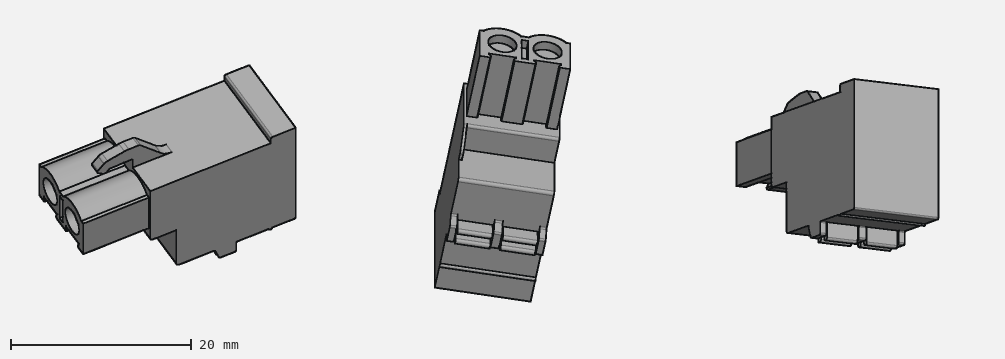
import cadquery as cq
import math


total_length = 26.6
total_height = 19.02
nose_length = 8.27
embed_depth = 0.53

housing_width = 10.77
housing_length = total_length - nose_length
housing_top = 13.8
rim_top = 14.7
rim_length = 3.15
rim_radius = 0.25
rear_radius = 0.2
heel_radius = 0.37

step_depth = 3.3
step_ceiling = 5.8
lip_radius = 0.32
cheek_thickness = 0.37
cheek_bottom = 3.7
cheek_ramp_foot = 2.3
cheek_ramp_top = 5.77
cheek_radius = 0.53

pole_pitch = 5.08
pole_positions = (-pole_pitch / 2, pole_pitch / 2)
pole_height = 10.5
pole_radius = 2.9
socket_radius = 1.6
socket_depth = 1.06
nose_width = 10.2
nose_shoulder = 12.5
nose_bottom = 7.53
slot_width = 0.75
slot_top = 11.78
slot_bottom = 8.25

channel_ceiling = slot_bottom
channel_top_width = 3.09
channel_neck_width = 2.55
channel_mouth_width = 2.77
channel_neck_height = 7.75

latch_left = 0.03
latch_width = 1.3
latch_top = 17.02
latch_root = 4.1
latch_root_radius = 2.0
latch_rear = latch_root + latch_root_radius
latch_base = housing_top - embed_depth
latch_ramp_top_radius = 0.37

arm_start = -0.77
arm_start_radius = 2.53
arm_end = -3.43
arm_end_height = 16.45
arm_end_radius = 0.95
arm_underside = 15.2
arm_underside_radius = 0.2
hook_tip = -4.6
hook_tip_height = 15.3
hook_tip_radius = 0.27
hook_bottom = 14.65
hook_front = -3.62
hook_front_radius = 0.15
hook_rear = -3.32
hook_rear_radius = 0.1
hook_root = -2.93
hook_root_height = 15.1

rib_depth = 1.52
rib_rear = 10.85
rib_front_foot = 8.7
rib_front_root = 8.17
rib_foot_radius = 0.25
rib_front_root_radius = 0.2
rib_rear_root_radius = 0.1
side_rib_width = 0.77
middle_rib_width = 0.93
bar_width = 3.88
bar_thickness = 0.66
bar_depth = total_height - latch_top
bar_positions = (9.1, 10.43)
bead_position = 15.14
bead_width = 0.5
bead_depth = 0.19


def rounded_outline(plane, corners):
    """Closed outline through (u, v, radius) corners; a radius of 0 leaves the corner sharp."""
    stops = []
    for i, (u, v, radius) in enumerate(corners):
        corner = cq.Vector(u, v)
        if radius == 0:
            stops.append((corner, corner, corner))
            continue
        before = cq.Vector(*corners[i - 1][:2])
        after = cq.Vector(*corners[(i + 1) % len(corners)][:2])
        to_before = (before - corner).normalized()
        to_after = (after - corner).normalized()
        half_angle = to_before.getAngle(to_after) / 2
        setback = radius / math.tan(half_angle)
        apex_distance = radius / math.sin(half_angle) - radius
        apex = corner + (to_before + to_after).normalized() * apex_distance
        stops.append((corner + to_before * setback, apex, corner + to_after * setback))

    outline = cq.Workplane(plane).moveTo(*stops[0][2].toTuple()[:2])
    for start, apex, end in stops[1:] + stops[:1]:
        outline = outline.lineTo(*start.toTuple()[:2])
        if (end - start).Length > 0:
            outline = outline.threePointArc(apex.toTuple()[:2], end.toTuple()[:2])
    return outline.close()


def side_profile(corners, left, width):
    """Prism with a (y, z, radius) outline, reaching from X = left over the given width."""
    return rounded_outline("YZ", corners).extrude(width).translate((left, 0, 0))


def make_housing():
    rim_front = housing_length - rim_length
    body = side_profile(
        [
            (0, housing_top, 0),
            (rim_front, housing_top, 0),
            (rim_front, rim_top, rim_radius),
            (housing_length, rim_top, 0),
            (housing_length, 0, rear_radius),
            (step_depth, 0, heel_radius),
            (step_depth, step_ceiling, 0),
            (0, step_ceiling, lip_radius),
        ],
        -housing_width / 2,
        housing_width,
    )
    cheek = side_profile(
        [
            (0, housing_top, 0),
            (step_depth, housing_top, 0),
            (step_depth, cheek_bottom, 0),
            (cheek_ramp_foot, cheek_bottom, cheek_radius),
            (0, cheek_ramp_top, cheek_radius),
        ],
        -housing_width / 2,
        cheek_thickness,
    )
    return body.union(cheek)


def make_nose():
    front = cq.Workplane("XZ")
    pole_centers = [(x, pole_height) for x in pole_positions]
    nose = (
        front.center(0, (nose_shoulder + nose_bottom) / 2)
        .rect(nose_width, nose_shoulder - nose_bottom)
        .extrude(nose_length)
    )
    above_shoulder = (
        front.center(0, nose_shoulder + pole_radius / 2)
        .rect(nose_width, pole_radius)
        .extrude(nose_length)
    )
    for x, z in pole_centers:
        barrel = front.center(x, z).circle(pole_radius).extrude(nose_length)
        nose = nose.union(barrel.intersect(above_shoulder))

    nose_front = cq.Workplane("XZ", origin=(0, -nose_length, 0))
    sockets = nose_front.pushPoints(pole_centers).circle(socket_radius).extrude(-socket_depth)
    slot = (
        nose_front.center(0, (slot_top + slot_bottom) / 2)
        .rect(slot_width, slot_top - slot_bottom)
        .extrude(-socket_depth)
    )
    nose = nose.cut(sockets).cut(slot)

    channel_right_side = [
        (channel_mouth_width / 2, nose_bottom),
        (channel_neck_width / 2, channel_neck_height),
        (channel_top_width / 2, channel_ceiling),
    ]
    channel_left_side = [(-x, z) for x, z in reversed(channel_right_side)]
    channel = front.polyline(channel_right_side + channel_left_side).close().extrude(nose_length)
    for x in pole_positions:
        nose = nose.cut(channel.translate((x, 0, 0)))
    return nose


def make_latch():
    ramp_top = latch_root - (latch_top - housing_top)
    return side_profile(
        [
            (0, latch_base, 0),
            (latch_rear, latch_base, 0),
            (latch_rear, housing_top, 0),
            (latch_root, housing_top, latch_root_radius),
            (ramp_top, latch_top, latch_ramp_top_radius),
            (arm_start, latch_top, arm_start_radius),
            (arm_end, arm_end_height, arm_end_radius),
            (hook_tip, hook_tip_height, hook_tip_radius),
            (hook_front, hook_bottom, hook_front_radius),
            (hook_rear, hook_bottom, hook_rear_radius),
            (hook_root, hook_root_height, hook_rear_radius),
            (0, arm_underside, arm_underside_radius),
        ],
        latch_left,
        latch_width,
    )


def make_rib(left, width):
    rib_back = rib_rear + 2 * rib_rear_root_radius
    rib_front = rib_front_root - 2 * rib_front_root_radius
    return side_profile(
        [
            (rib_back, embed_depth, 0),
            (rib_back, 0, 0),
            (rib_rear, 0, rib_rear_root_radius),
            (rib_rear, -rib_depth, rib_foot_radius),
            (rib_front_foot, -rib_depth, rib_foot_radius),
            (rib_front_root, 0, rib_front_root_radius),
            (rib_front, 0, 0),
            (rib_front, embed_depth, 0),
        ],
        left,
        width,
    )


def make_bar(x, y):
    tip_radius = bar_thickness / 2
    straight_end = -bar_depth + tip_radius
    return (
        cq.Workplane("YZ", origin=(x - bar_width / 2, 0, 0))
        .moveTo(y - tip_radius, 0)
        .lineTo(y - tip_radius, straight_end)
        .threePointArc((y, -bar_depth), (y + tip_radius, straight_end))
        .lineTo(y + tip_radius, 0)
        .close()
        .extrude(bar_width)
    )


def make_bead():
    return (
        cq.Workplane("YZ", origin=(-housing_width / 2, 0, 0))
        .moveTo(bead_position - bead_width / 2, 0)
        .threePointArc((bead_position, -bead_depth), (bead_position + bead_width / 2, 0))
        .close()
        .extrude(housing_width)
    )


result = make_housing().union(make_nose()).union(make_latch()).union(make_bead())
for left, width in (
    (-housing_width / 2, side_rib_width),
    (-middle_rib_width / 2, middle_rib_width),
    (housing_width / 2 - side_rib_width, side_rib_width),
):
    result = result.union(make_rib(left, width))
for x in pole_positions:
    for y in bar_positions:
        result = result.union(make_bar(x, y))